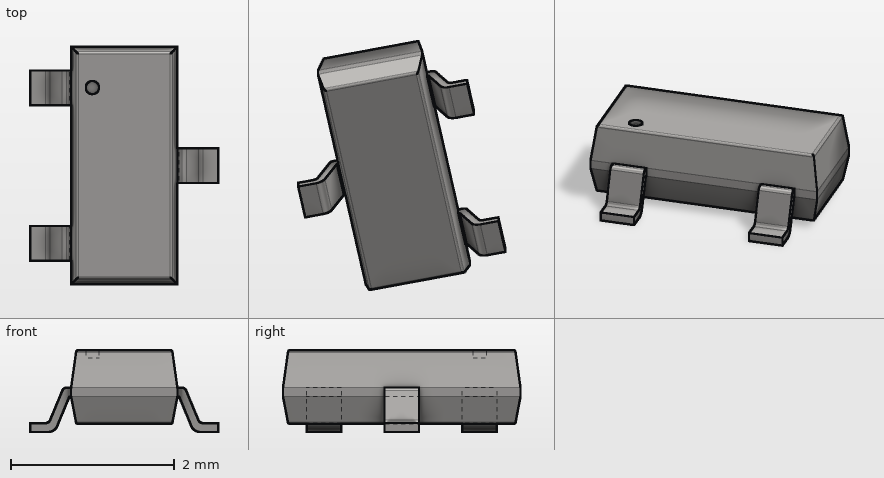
import cadquery as cq
import math

body_length = 2.9
body_width = 1.3
total_height = 1.0
standoff = 0.1
band_bottom = 0.432
taper_inset = 0.065
edge_radius = 0.032

mark_diameter = 0.162
mark_depth = 0.1
mark_edge_offset_x = 0.26
mark_edge_offset_y = 0.5

lead_span = 2.3
lead_thickness = 0.11
lead_width = 0.425
lead_pitch = 1.897
foot_length = 0.23
slope_angle = 22.5
bend_radius = 0.058
heel_radius = 0.115

band_top = band_bottom + lead_thickness


def make_taper(start_z, height):
    """Tapered half of the housing; a negative height tapers downwards."""
    draft_angle = math.degrees(math.atan(taper_inset / abs(height)))
    return (
        cq.Workplane("XY", origin=(0, 0, start_z))
        .rect(body_width, body_length)
        .extrude(height, taper=draft_angle)
    )


def make_housing():
    """Vertical band between two tapered halves, with rounded rims and a pin 1 dimple."""
    band = (
        cq.Workplane("XY", origin=(0, 0, band_bottom))
        .rect(body_width, body_length)
        .extrude(lead_thickness)
    )
    upper = make_taper(band_top, total_height - band_top)
    lower = make_taper(band_bottom, standoff - band_bottom)
    upper = upper.faces(">Z").edges().fillet(edge_radius)
    lower = lower.faces("<Z").edges().fillet(edge_radius)
    mark_x = mark_edge_offset_x - body_width / 2
    mark_y = body_length / 2 - mark_edge_offset_y
    mark = (
        cq.Workplane("XY", origin=(mark_x, mark_y, total_height - mark_depth))
        .circle(mark_diameter / 2)
        .extrude(mark_depth)
    )
    return band.union(upper).union(lower).cut(mark)


def make_lead(center_y, turn):
    """One bent lead on the -X side at center_y, then turned about Z by turn degrees."""
    lean = math.radians(slope_angle)
    tip_x = -lead_span / 2
    root_x = -body_width / 2
    upper_foot_x = tip_x + foot_length
    upper_knee_x = upper_foot_x + (band_top - lead_thickness) * math.tan(lean)
    corner_shift = lead_thickness * math.tan((math.pi / 2 - lean) / 2)
    heel_x = upper_foot_x + corner_shift
    under_knee_x = upper_knee_x + corner_shift

    lead = (
        cq.Workplane("XZ", origin=(0, center_y + lead_width / 2, 0))
        .moveTo(tip_x, 0)
        .lineTo(heel_x, 0)
        .lineTo(under_knee_x, band_bottom)
        .lineTo(root_x, band_bottom)
        .lineTo(root_x, band_top)
        .lineTo(upper_knee_x, band_top)
        .lineTo(upper_foot_x, lead_thickness)
        .lineTo(tip_x, lead_thickness)
        .close()
        .extrude(lead_width)
    )

    def bend_edge(x, z):
        return cq.selectors.NearestToPointSelector((x, center_y, z))

    for x, z, radius in (
        (upper_foot_x, lead_thickness, bend_radius),
        (upper_knee_x, band_top, bend_radius),
        (heel_x, 0, heel_radius),
    ):
        lead = lead.edges("|Y").edges(bend_edge(x, z)).fillet(radius)
    return lead.rotate((0, 0, 0), (0, 0, 1), turn)


housing = make_housing()
lead_places = ((-lead_pitch / 2, 0), (lead_pitch / 2, 0), (0, 180))
leads = [make_lead(center_y, turn) for center_y, turn in lead_places]

result = cq.Compound.makeCompound([housing.val(), *[lead.val() for lead in leads]])